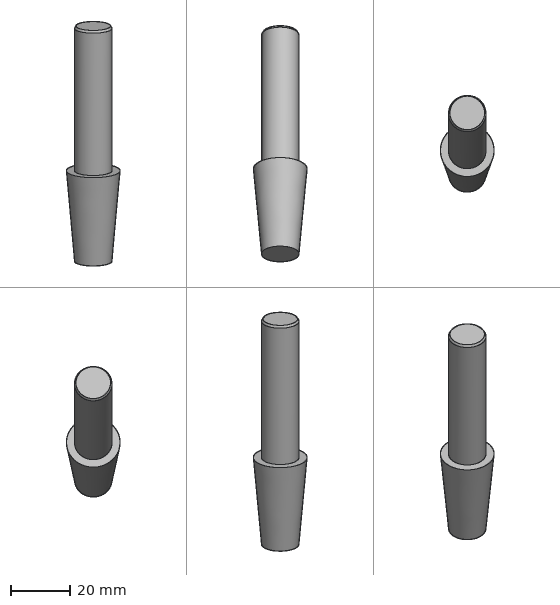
import cadquery as cq

total_height = 82.6
head_height = 31.8
head_top_diameter = 18.25
head_bottom_diameter = 12.7
shank_diameter = 12.7
chamfer_height = 0.8
chamfer_width = 0.5

shank_length = total_height - head_height


def make_tapered_head():
    """Conical head standing on Z = 0, widest at its top face."""
    bottom_radius = head_bottom_diameter / 2
    top_radius = head_top_diameter / 2
    return cq.Workplane(cq.Solid.makeCone(bottom_radius, top_radius, head_height))


def make_shank():
    """Round shank seated on the head, with a chamfered free end."""
    shank = cq.Workplane("XY").workplane(offset=head_height).circle(shank_diameter / 2).extrude(shank_length)
    return shank.faces(">Z").chamfer(chamfer_height, chamfer_width)


head = make_tapered_head()
shank = make_shank()

result = cq.Compound.makeCompound([head.val(), shank.val()])